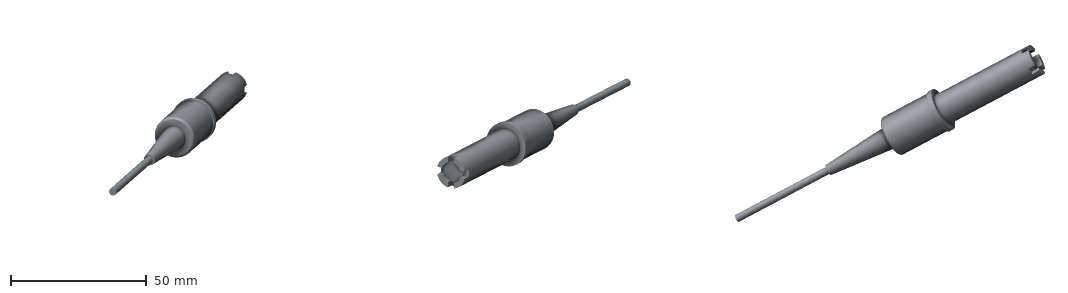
import cadquery as cq

cable_length = 39.8
boot_length = 27.3
body_length = 20.7
flange_length = 2.0
sleeve_length = 40.7

cable_radius = 1.5
boot_tip_radius = 2.1
boot_base_radius = 4.5
body_radius = 7.8
body_fillet = 1.0
flange_radius = 8.4
sleeve_radius = 6.0

bore_radius = 4.0
bore_depth = 2.1
slot_width = 2.7
slot_depth = 2.9

boot_start = cable_length
body_start = boot_start + boot_length
flange_start = body_start + body_length
sleeve_start = flange_start + flange_length
sleeve_end = sleeve_start + sleeve_length


def make_turned_part():
    """Cable, tapered boot, body, flange and sleeve turned about the Y axis."""
    half_profile = (
        cq.Workplane("XY")
        .lineTo(cable_radius, 0)
        .lineTo(cable_radius, boot_start)
        .lineTo(boot_tip_radius, boot_start)
        .lineTo(boot_base_radius, body_start)
        .lineTo(body_radius - body_fillet, body_start)
        .radiusArc((body_radius, body_start + body_fillet), -body_fillet)
        .lineTo(body_radius, flange_start)
        .lineTo(flange_radius, flange_start)
        .lineTo(flange_radius, sleeve_start)
        .lineTo(sleeve_radius, sleeve_start)
        .lineTo(sleeve_radius, sleeve_end)
        .lineTo(0, sleeve_end)
        .close()
    )
    return half_profile.revolve(360, (0, 0, 0), (0, 1, 0))


def make_bore():
    """Shallow bore in the open end of the sleeve."""
    bore = cq.Workplane("XZ").circle(bore_radius).extrude(bore_depth)
    return bore.translate((0, sleeve_end, 0))


def make_cross_slots():
    """Two crossed slots through the sleeve wall, leaving the core inside the bore radius."""
    span = 2 * flange_radius
    end_plane = cq.Workplane("XZ")
    slots = end_plane.rect(span, slot_width).extrude(slot_depth)
    slots = slots.union(end_plane.rect(slot_width, span).extrude(slot_depth))
    core = end_plane.circle(bore_radius).extrude(slot_depth)
    return slots.cut(core).translate((0, sleeve_end, 0))


result = make_turned_part().cut(make_bore()).cut(make_cross_slots())